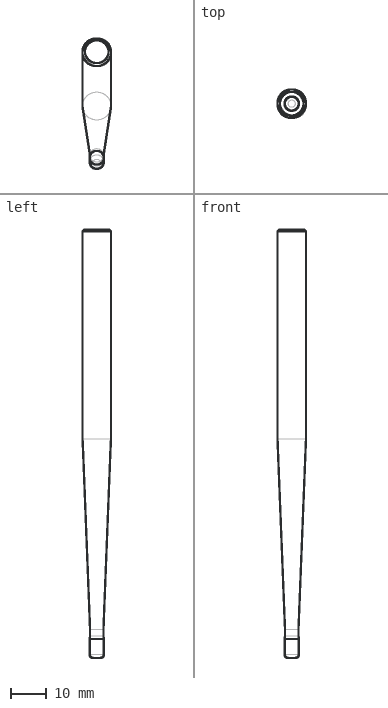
import cadquery as cq

TOTAL_LENGTH = 120.0

SHANK_RADIUS = 8.0 / 2
SHANK_BOTTOM = 61.3
TOP_CHAMFER_WIDTH = 0.7
TOP_CHAMFER_HEIGHT = 0.6

NECK_RADIUS = 1.9
NECK_TOP = 8.0
NECK_BOTTOM = 6.1

CUTTER_RADIUS = SHANK_RADIUS / 2
CUTTER_LENGTH = 5.4
CORNER_RADIUS = CUTTER_RADIUS / 2


def make_cutter():
    """Cylindrical cutting head with a rounded lower corner."""
    blank = cq.Workplane("XY").circle(CUTTER_RADIUS).extrude(CUTTER_LENGTH)
    return blank.faces("<Z").edges().fillet(CORNER_RADIUS)


def make_holder():
    """Turned shank, tapered reach and slightly relieved neck above the cutter."""
    half_profile = [
        (0, CUTTER_LENGTH),
        (CUTTER_RADIUS, CUTTER_LENGTH),
        (NECK_RADIUS, NECK_BOTTOM),
        (NECK_RADIUS, NECK_TOP),
        (SHANK_RADIUS, SHANK_BOTTOM),
        (SHANK_RADIUS, TOTAL_LENGTH - TOP_CHAMFER_HEIGHT),
        (SHANK_RADIUS - TOP_CHAMFER_WIDTH, TOTAL_LENGTH),
        (0, TOTAL_LENGTH),
    ]
    axis_start = (0, 0)
    axis_end = (0, 1)
    return cq.Workplane("XZ").polyline(half_profile).close().revolve(360, axis_start, axis_end)


cutter = make_cutter()
holder = make_holder()
result = cq.Compound.makeCompound([cutter.val(), holder.val()])